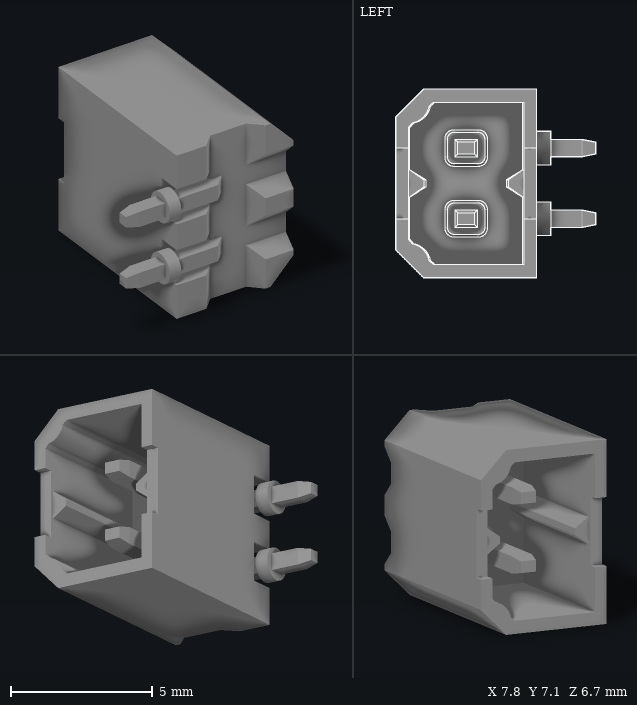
import cadquery as cq
import math


overall_length = 7.8
body_length = 7.5
body_depth = 5.0
body_height = 6.7
edge_chamfer = 1.0
pitch = 2.5
pin_y = body_depth / 2
pin_heights = (-pitch / 2, pitch / 2)

cavity_length = 5.5
end_wall = 0.475
mouth_wall = 0.45
floor_wall = 0.5
corner_radius = 0.75
corner_reach = 0.9
corner_blend_angle = math.radians(11)

mouth_notch_depth = 0.37

ridge_start = 0.48
ridge_base_width = 0.97
ridge_tip_width = 0.25
ridge_tip_start = 1.01
ridge_tip_floor = 1.08

boss_depth = 1.51
boss_height = 1.295
boss_radius = 0.33
boss_length = 0.5
boss_inset = 0.09

channel_depth = 0.5
channel_start = 1.26
channel_end = 3.8

pocket_depth = 1.0
pocket_height = 1.44
gap_base_height = 0.795

contact_start = 1.2
contact_depth = 0.795
pin_thickness = 0.625
contact_tip_depth = 0.6
pin_tip_thickness = 0.42
contact_taper = 0.5

collar_radius = 0.6
collar_length = 0.5
leg_x = overall_length - collar_radius
leg_width = 0.6
leg_tip_width = 0.39
leg_length = 2.1
leg_taper = 0.5
bend_chamfer_start = 1.76


def block(x_range, y_range, z_range):
    """Axis-aligned block between the given limits."""
    (x0, x1), (y0, y1), (z0, z1) = x_range, y_range, z_range
    return cq.Workplane("XY").box(x1 - x0, y1 - y0, z1 - z0, centered=False).translate((x0, y0, z0))


def section_plane(x):
    """Plane across the housing at x, with local axes along Y and Z."""
    return cq.Workplane("YZ", origin=(x, 0, 0))


def frustum(base, tip):
    """Solid lofted straight between two section wires."""
    return cq.Workplane(cq.Solid.makeLoft([base.val(), tip.val()], True))


def cavity_section(x, wall):
    """Cavity outline with a convex round bulging in at each chamfered corner."""
    top = body_height / 2 - end_wall
    back = body_depth - wall
    long_leg = corner_radius * math.cos(corner_blend_angle)
    short_leg = corner_radius * math.sin(corner_blend_angle)
    middle = corner_radius * math.sqrt(0.5)
    return (
        section_plane(x)
        .moveTo(wall, -top)
        .lineTo(back - corner_reach, -top)
        .lineTo(back - long_leg, -top + short_leg)
        .threePointArc((back - middle, -top + middle), (back - short_leg, -top + long_leg))
        .lineTo(back, -top + corner_reach)
        .lineTo(back, top - corner_reach)
        .lineTo(back - short_leg, top - long_leg)
        .threePointArc((back - middle, top - middle), (back - long_leg, top - short_leg))
        .lineTo(back - corner_reach, top)
        .lineTo(wall, top)
        .close()
    )


def ridge_section(x, tip):
    """Ridge outline on the Y = 0 wall, rooted inside the wall."""
    base = ridge_base_width / 2
    return (
        section_plane(x)
        .moveTo(mouth_wall / 2, -base)
        .lineTo(floor_wall, -base)
        .lineTo(tip, -ridge_tip_width / 2)
        .lineTo(tip, ridge_tip_width / 2)
        .lineTo(floor_wall, base)
        .lineTo(mouth_wall / 2, base)
        .close()
    )


def make_housing():
    """Shell with its cavity, mouth notches and keying ridges."""
    housing = block((0, body_length), (0, body_depth), (-body_height / 2, body_height / 2))
    housing = housing.edges("|X and >Y").chamfer(edge_chamfer)

    cavity = frustum(
        cavity_section(0, mouth_wall).wires(),
        cavity_section(cavity_length, floor_wall).wires(),
    )
    housing = housing.cut(cavity)
    housing = housing.cut(block((0, mouth_notch_depth), (0, body_depth), pin_heights))

    ridge = frustum(
        ridge_section(ridge_start, ridge_tip_start).wires(),
        ridge_section(cavity_length, ridge_tip_floor).wires(),
    )
    opposite_ridge = ridge.mirror("XZ", (0, body_depth / 2, 0))
    return housing.union(ridge).union(opposite_ridge)


def make_boss(z):
    """Tapered rounded boss around a pin on the cavity floor."""
    outline = cq.Sketch().rect(boss_depth, boss_height).vertices().fillet(boss_radius)
    taper = math.degrees(math.atan(boss_inset / boss_length))
    on_floor = cq.Workplane("YZ", origin=(cavity_length, pin_y, z))
    return on_floor.placeSketch(outline).extrude(-boss_length, taper=taper)


def make_channel():
    """Channel with 45 degree sides running in Z across the back of the housing."""
    floor = body_length - channel_depth
    return (
        cq.Workplane("XY", origin=(0, 0, -body_height / 2))
        .moveTo(body_length, channel_start)
        .lineTo(floor, channel_start + channel_depth)
        .lineTo(floor, channel_end - channel_depth)
        .lineTo(body_length, channel_end)
        .close()
        .extrude(body_height)
    )


def make_pocket(z):
    """Pocket around a bent pin, open to the leg face, the back and the channel."""
    pocket_end = channel_start + channel_depth
    z_range = (z - pocket_height / 2, z + pocket_height / 2)
    return block((body_length - pocket_depth, body_length), (0, pocket_end), z_range)


def make_lip_gap(z):
    """Gap through the back lip behind a pin, flaring outwards at 45 degrees."""
    floor = body_length - channel_depth
    inner = gap_base_height / 2
    outer = inner + channel_depth
    return (
        cq.Workplane("XZ", origin=(0, body_depth, z))
        .moveTo(floor, -inner)
        .lineTo(floor, inner)
        .lineTo(body_length, outer)
        .lineTo(body_length, -outer)
        .close()
        .extrude(body_depth - pin_y)
    )


def make_pin(z):
    """Pin bent at a right angle, with tapered ends, a collar and a chamfered bend."""
    leg_inner = leg_x - leg_width / 2
    leg_outer = leg_x + leg_width / 2
    contact_front = pin_y - contact_depth / 2
    contact_back = pin_y + contact_depth / 2
    contact_shoulder = contact_start + contact_taper
    leg_shoulder = leg_taper - leg_length
    bend_chamfer_end = leg_outer - (contact_back - bend_chamfer_start)

    shank = (
        cq.Workplane("XY", origin=(0, 0, z - pin_thickness / 2))
        .moveTo(contact_shoulder, contact_front)
        .lineTo(leg_inner, contact_front)
        .lineTo(leg_inner, leg_shoulder)
        .lineTo(leg_outer, leg_shoulder)
        .lineTo(leg_outer, bend_chamfer_start)
        .lineTo(bend_chamfer_end, contact_back)
        .lineTo(contact_shoulder, contact_back)
        .close()
        .extrude(pin_thickness)
    )
    contact_tip = frustum(
        cq.Workplane("YZ", origin=(contact_shoulder, pin_y, z)).rect(contact_depth, pin_thickness),
        cq.Workplane("YZ", origin=(contact_start, pin_y, z)).rect(contact_tip_depth, pin_tip_thickness),
    )
    leg_tip = frustum(
        cq.Workplane("XZ", origin=(leg_x, leg_shoulder, z)).rect(leg_width, pin_thickness),
        cq.Workplane("XZ", origin=(leg_x, -leg_length, z)).rect(leg_tip_width, pin_tip_thickness),
    )
    collar = cq.Workplane("XZ", origin=(leg_x, 0, z)).circle(collar_radius).extrude(collar_length)
    return shank.union(contact_tip).union(leg_tip).union(collar)


result = make_housing().cut(make_channel())
for pin_z in pin_heights:
    result = result.cut(make_pocket(pin_z)).cut(make_lip_gap(pin_z))
    result = result.union(make_boss(pin_z)).union(make_pin(pin_z))